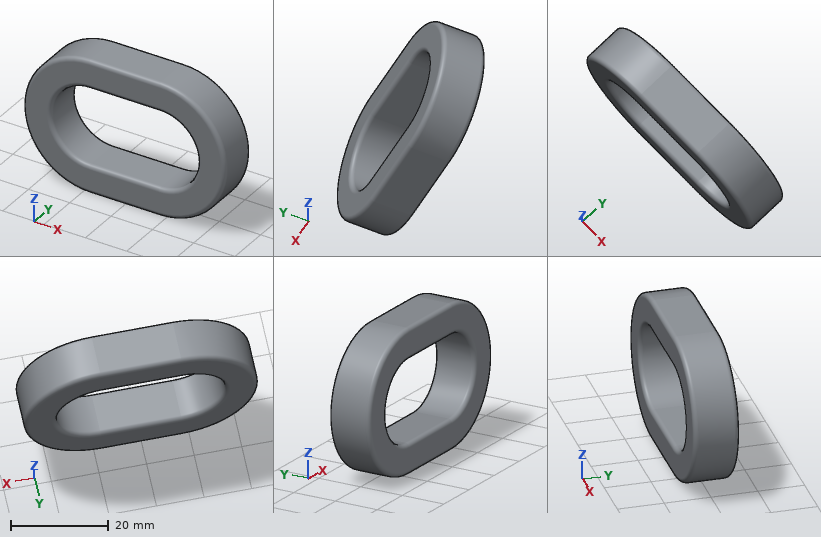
import cadquery as cq

length = 49.0
height = 32.0
thickness = 9.75
wall = 6.75
edge_radius = 1.0

opening_length = length - 2 * wall
opening_height = height - 2 * wall


def oblong(outline_length, outline_height):
    """Solid with a round-ended outline in XZ, centred on the origin."""
    return (
        cq.Workplane("XZ")
        .slot2D(outline_length, outline_height)
        .extrude(thickness / 2, both=True)
    )


ring = oblong(length, height).cut(oblong(opening_length, opening_height))

result = ring.faces("<Y or >Y").edges().fillet(edge_radius)